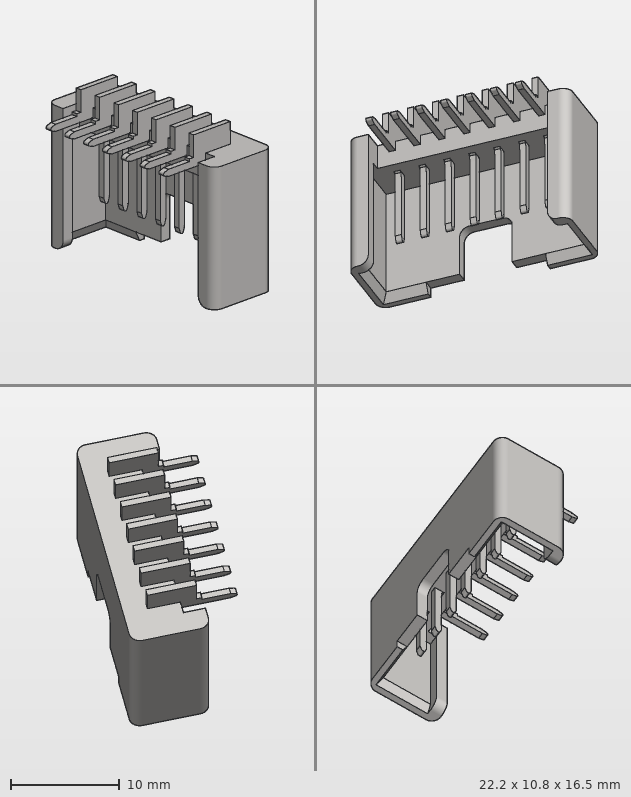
import cadquery as cq


width = 22.2
depth = 7.5
height = 14.2
corner_radius = 1.0
wall = 1.1
base_thickness = 2.5
base_front = 2.09
lip_width = 2.1
lip_depth = 1.2

mouth_height = 1.0
mouth_flare = 0.49
back_cutout_width = 11.99

slot_width = 5.26
slot_top = 6.04
slot_radius = 1.0

pin_count = 7
pin_row_length = 15.0
pin_pitch = pin_row_length / (pin_count - 1)
pin_width = 0.62
pin_thickness = 0.7
tip_length = 0.62
nose_length = 0.15
nose_thickness = 0.4

plate_rise = 2.25
plate_back = 5.22
plate_front = 0.55
shoulder_front = 0.05
tail_top = 13.95
tail_bottom = tail_top - pin_thickness
tail_end = -3.29

contact_center = 3.85
contact_end = 4.2
root_step_height = 0.13
root_step = 0.2
root_taper_height = 0.78
root_taper = 0.1

base_bottom = height - base_thickness
cavity_width = width - 2 * wall
opening_width = width - 2 * lip_width
cavity_back = depth - wall


def block(x_size, y_min, y_max, z_min, z_max):
    """Box centred on X between the given Y and Z limits."""
    box = cq.Workplane("XY").box(x_size, y_max - y_min, z_max - z_min, centered=(True, False, False))
    return box.translate((0, y_min, z_min))


def make_housing():
    body = block(width, 0, depth, 0, height).edges("|Z").fillet(corner_radius)

    opening = block(opening_width, 0, lip_depth, 0, base_bottom)
    notch = block(opening_width, 0, base_front, base_bottom, height)
    cavity = block(cavity_width, lip_depth, cavity_back, 0, base_bottom)
    body = body.cut(opening).cut(notch).cut(cavity)

    for side in (-1, 1):
        inner_bottom_edge = cq.selectors.NearestToPointSelector((side * opening_width / 2, lip_depth / 2, 0))
        body = body.edges(inner_bottom_edge).fillet(corner_radius)

    mouth = (
        cq.Workplane("XY")
        .center(0, (lip_depth + cavity_back + mouth_flare) / 2)
        .rect(cavity_width + 2 * mouth_flare, cavity_back + mouth_flare - lip_depth)
        .workplane(offset=mouth_height)
        .center(0, -mouth_flare / 2)
        .rect(cavity_width, cavity_back - lip_depth)
        .loft(ruled=True)
    )
    body = body.cut(mouth)

    back_cutout = block(back_cutout_width, cavity_back, depth, 0, mouth_height)
    slot = block(slot_width, cavity_back, depth, 0, slot_top).edges("|Y and >Z").fillet(slot_radius)
    return body.cut(back_cutout).cut(slot)


def make_tip():
    """Tapered pin tip with an ogive nose, pointing to -Y and ending at the origin."""
    upper_half = (
        cq.Workplane("YZ")
        .moveTo(tip_length, 0)
        .lineTo(tip_length, pin_thickness / 2)
        .lineTo(nose_length, nose_thickness / 2)
        .tangentArcPoint((0, 0), relative=False)
        .close()
        .extrude(pin_width / 2, both=True)
    )
    return upper_half.union(upper_half.mirror("XY"))


def make_tail():
    """Plate standing on the base, with the leg that points to -Y, centred on X = 0."""
    plate_top = height + plate_rise
    leg_end = tail_end + tip_length
    outline = [
        (plate_back, tail_bottom),
        (plate_back, plate_top),
        (plate_front, plate_top),
        (plate_front, height),
        (shoulder_front, height),
        (shoulder_front, tail_top),
        (leg_end, tail_top),
        (leg_end, tail_bottom),
    ]
    leg = cq.Workplane("YZ").polyline(outline).close().extrude(pin_width / 2, both=True)
    tip = make_tip().translate((0, tail_end, tail_top - pin_thickness / 2))
    return leg.union(tip)


def make_contact():
    """Leg hanging from the base into the cavity, with a wider root, centred on X = 0."""
    front = contact_center - pin_thickness / 2
    back = contact_center + pin_thickness / 2
    root_front = front - root_taper
    leg_end = contact_end + tip_length
    outline = [
        (back, base_bottom),
        (root_front - root_step, base_bottom),
        (root_front, base_bottom - root_step_height),
        (front, base_bottom - root_taper_height),
        (front, leg_end),
        (back, leg_end),
    ]
    leg = cq.Workplane("YZ").polyline(outline).close().extrude(pin_width / 2, both=True)
    tip = make_tip().rotate((0, 0, 0), (1, 0, 0), 90).translate((0, contact_center, contact_end))
    return leg.union(tip)


result = make_housing()
tail = make_tail()
contact = make_contact()
for index in range(pin_count):
    x = index * pin_pitch - pin_row_length / 2
    result = result.union(tail.translate((x, 0, 0))).union(contact.translate((x, 0, 0)))